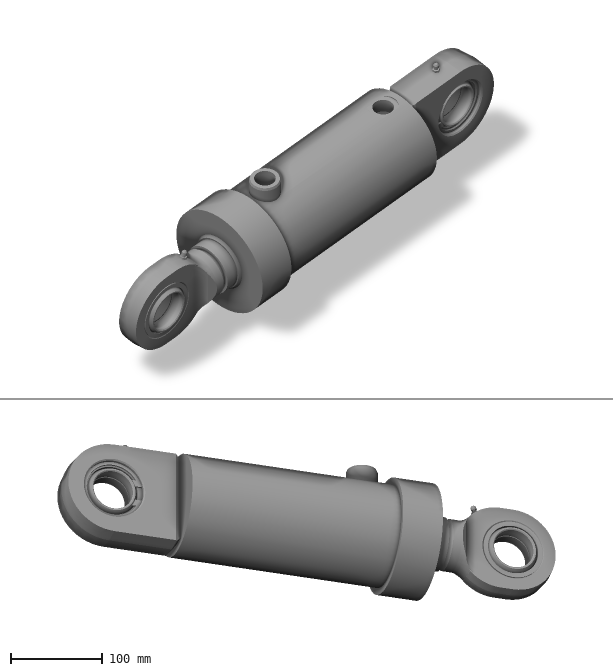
import cadquery as cq
import math


overall_length = 566.0

head_diameter = 130.0
head_length = 46.0
barrel_diameter = 115.0
barrel_rear_y = 286.0
gland_base_diameter = 68.0
gland_tip_diameter = 63.5
gland_length = 3.5

port_diameter = 35.0
port_bore_diameter = 24.0
port_bore_depth = 17.0
drill_point_angle = 118.0
rear_port_y = 261.0
spotface_z = 56.0
front_port_y = 72.5
boss_top_z = 75.0
boss_chamfer_height = 3.0
boss_chamfer_inset = 1.0

rear_eye_y = 363.5
rear_eye_radius = 55.0
rear_eye_width = 39.5
weld_chamfer_length = 7.0
weld_chamfer_inset = 5.5
eye_draft = 5.0

rod_diameter = 60.0
rod_end_y = -18.5
weld_groove_diameter = 51.0
neck_diameter = 58.0
neck_start_y = -24.0
neck_end_y = -34.5
rod_eye_diameter = 100.0
rod_eye_radius = rod_eye_diameter / 2
rod_eye_y = rear_eye_y + rear_eye_radius - overall_length + rod_eye_radius
rod_eye_width = 25.5
shoulder_y = -83.0
flare_radius = 18.0
flare_end_diameter = 78.0
plate_start_y = -47.5
taper_end_y = -41.0
taper_half_width = 21.5
flat_start_y = -53.0

bearing_bore = 45.0
bore_chamfer = 1.0
bearing_diameter = 68.0
seat_mouth_diameter = 71.0
ball_diameter = 60.0
ball_width = 32.0
outer_ring_bore = 58.0
outer_ring_width = rod_eye_width
oil_groove_width = 3.0
oil_groove_depth = 1.0
retainer_groove_diameter = 71.0
retainer_bore = 61.0
retainer_thickness = 2.0
retainer_gap = 16.5
lug_inner_radius = 26.5
lug_height = 7.5

nipple_hexagon = 8.5
nipple_base_height = 2.0
nipple_neck_diameter = 4.4
nipple_neck_height = 2.0
nipple_head_diameter = 6.0
nipple_head_height = 3.5
nipple_tip_diameter = 3.55
nipple_tip_height = 1.5
nipple_root = 3.0
rear_nipple_y = 345.0
rod_nipple_angle = 30.0
rod_nipple_tilt = 18.0


def cylinder_y(diameter, y_start, y_end):
    """Cylinder about the Y axis between two y positions."""
    plane = cq.Workplane("XZ", origin=(0, y_start, 0))
    return plane.circle(diameter / 2).extrude(y_start - y_end)


def cylinder_x(diameter, width):
    """Cylinder about the X axis, centred on x = 0."""
    return cq.Workplane("YZ").circle(diameter / 2).extrude(width / 2, both=True)


def drafted_plate(outline, width):
    """Plate with its outline in YZ, drafted to both sides of a ridge at x = 0."""
    half = outline.extrude(width / 2, taper=eye_draft)
    return half.union(half.mirror("YZ"))


def grease_nipple():
    """Nipple about Z: hexagonal base standing on z = 0 with a short root, neck and tapered head."""
    head_z = nipple_base_height + nipple_neck_height
    tip_z = head_z + nipple_head_height
    top_z = tip_z + nipple_tip_height
    base = (
        cq.Workplane("XY", origin=(0, 0, -nipple_root))
        .polygon(6, nipple_hexagon)
        .extrude(nipple_root + nipple_base_height)
    )
    fitting = (
        cq.Workplane("XZ")
        .lineTo(nipple_neck_diameter / 2, 0)
        .lineTo(nipple_neck_diameter / 2, head_z)
        .lineTo(nipple_head_diameter / 2, head_z)
        .lineTo(nipple_head_diameter / 2, tip_z)
        .lineTo(nipple_tip_diameter / 2, top_z)
        .lineTo(0, top_z)
        .close()
        .revolve(360, (0, 0, 0), (0, 1, 0))
    )
    return base.union(fitting)


def port_bore(y, mouth_z, floor_z):
    """Blind drilled hole from mouth_z down to floor_z, ending in a drill point."""
    radius = port_bore_diameter / 2
    point_depth = radius / math.tan(math.radians(drill_point_angle / 2))
    return (
        cq.Workplane("XZ", origin=(0, y, 0))
        .moveTo(0, mouth_z)
        .lineTo(radius, mouth_z)
        .lineTo(radius, floor_z)
        .lineTo(0, floor_z - point_depth)
        .close()
        .revolve(360, (0, 0, 0), (0, 1, 0))
    )


def rear_eye():
    """Drafted eye plate, chamfered all round where it meets the barrel."""
    outline = (
        cq.Workplane("YZ")
        .moveTo(0, -rear_eye_radius)
        .lineTo(rear_eye_y, -rear_eye_radius)
        .threePointArc((rear_eye_y + rear_eye_radius, 0), (rear_eye_y, rear_eye_radius))
        .lineTo(0, rear_eye_radius)
        .close()
    )
    barrel_side = cylinder_y(2 * head_diameter, -head_length, barrel_rear_y)
    plate = drafted_plate(outline, rear_eye_width).cut(barrel_side)
    end_edges = plate.faces("<Y").edges()
    return end_edges.chamfer(weld_chamfer_inset, weld_chamfer_length)


def bearing_seat(eye_width):
    """Cutter along X for a bearing's through bore, chamfered at both eye faces."""
    chamfer = (seat_mouth_diameter - bearing_diameter) / 2
    outer_x = eye_width / 2
    return (
        cq.Workplane("XZ")
        .moveTo(-outer_x, 0)
        .lineTo(-outer_x, seat_mouth_diameter / 2)
        .lineTo(-outer_x + chamfer, bearing_diameter / 2)
        .lineTo(outer_x - chamfer, bearing_diameter / 2)
        .lineTo(outer_x, seat_mouth_diameter / 2)
        .lineTo(outer_x, 0)
        .close()
        .revolve(360, (0, 0, 0), (1, 0, 0))
    )


def rear_bearing_seat():
    """Bearing seat with a groove for a retaining ring at each side of the bearing."""
    grooves_width = outer_ring_width + 2 * retainer_thickness
    grooves = cylinder_x(retainer_groove_diameter, grooves_width)
    grooves = grooves.cut(cylinder_x(retainer_groove_diameter, outer_ring_width))
    return bearing_seat(rear_eye_width).union(grooves).translate((0, rear_eye_y, 0))


def build_housing():
    """Head, barrel, oil ports and rear eye."""
    head = cylinder_y(head_diameter, 0, head_length)
    barrel = cylinder_y(barrel_diameter, head_length, barrel_rear_y)
    gland = (
        cq.Workplane("XZ")
        .circle(gland_base_diameter / 2)
        .workplane(offset=gland_length)
        .circle(gland_tip_diameter / 2)
        .loft()
    )
    boss = (
        cq.Workplane("XY", origin=(0, front_port_y, 0))
        .circle(port_diameter / 2)
        .extrude(boss_top_z)
        .faces(">Z")
        .chamfer(boss_chamfer_height, boss_chamfer_inset)
    )
    nipple = grease_nipple().translate((0, rear_nipple_y, rear_eye_radius))
    spotface = (
        cq.Workplane("XY", origin=(0, rear_port_y, spotface_z))
        .circle(port_diameter / 2)
        .extrude(barrel_diameter)
    )
    port_floor_z = spotface_z - port_bore_depth
    body = head.union(barrel).union(gland).union(boss).union(rear_eye()).union(nipple)
    body = body.cut(spotface)
    body = body.cut(port_bore(rear_port_y, spotface_z, port_floor_z))
    body = body.cut(port_bore(front_port_y, boss_top_z, port_floor_z))
    body = body.cut(cylinder_y(rod_diameter, -gland_length, head_length))
    return body.cut(rear_bearing_seat())


def flare_points():
    """Start, middle and end (y, z) of the arc from the neck out to the rod eye shoulder."""
    neck_radius = neck_diameter / 2
    centre_z = neck_radius + flare_radius
    centre_distance = rod_eye_radius + flare_radius
    centre_y = shoulder_y + math.sqrt(centre_distance**2 - centre_z**2)
    end_angle = math.atan2(-centre_z, shoulder_y - centre_y)
    middle_angle = (end_angle - math.pi / 2) / 2
    middle = (
        centre_y + flare_radius * math.cos(middle_angle),
        centre_z + flare_radius * math.sin(middle_angle),
    )
    end = (
        centre_y + flare_radius * math.cos(end_angle),
        centre_z + flare_radius * math.sin(end_angle),
    )
    return (centre_y, neck_radius), middle, end


def shoulder_point(angle):
    """(y, z) on the shoulder arc, with the angle measured from +Z toward +Y."""
    angle = math.radians(angle)
    return shoulder_y + rod_eye_radius * math.sin(angle), rod_eye_radius * math.cos(angle)


def rod_eye_plate():
    """Drafted eye plate with a tongue that ends inside the neck."""
    start_angle = math.degrees(math.asin((plate_start_y - shoulder_y) / rod_eye_radius))
    start_y, start_z = shoulder_point(start_angle)
    middle_y, middle_z = shoulder_point(start_angle / 2)
    tongue_z = rod_eye_width / 2
    outline = (
        cq.Workplane("YZ")
        .moveTo(neck_end_y, -tongue_z)
        .lineTo(neck_end_y, tongue_z)
        .lineTo(start_y, start_z)
        .threePointArc((middle_y, middle_z), (shoulder_y, rod_eye_radius))
        .lineTo(rod_eye_y, rod_eye_radius)
        .threePointArc((rod_eye_y - rod_eye_radius, 0), (rod_eye_y, -rod_eye_radius))
        .lineTo(shoulder_y, -rod_eye_radius)
        .threePointArc((middle_y, -middle_z), (start_y, -start_z))
        .close()
    )
    return drafted_plate(outline, rod_eye_width)


def rod_neck():
    """Round neck that flares in height and narrows to the width of the eye."""
    start, middle, end = flare_points()
    round_part = (
        cq.Workplane("YZ")
        .moveTo(rod_end_y, 0)
        .lineTo(rod_end_y, weld_groove_diameter / 2)
        .lineTo(neck_start_y, neck_diameter / 2)
        .lineTo(*start)
        .threePointArc(middle, end)
        .lineTo(flat_start_y, flare_end_diameter / 2)
        .lineTo(flat_start_y, 0)
        .close()
        .revolve(360, (0, 0, 0), (1, 0, 0))
    )
    half_eye = rod_eye_width / 2
    half_neck = neck_diameter / 2
    rise = taper_half_width - half_eye
    run = taper_end_y - flat_start_y
    blend_radius = (rise**2 + run**2) / (2 * rise)
    sweep = math.asin(run / blend_radius) / 2
    middle_x = half_eye + blend_radius * (1 - math.cos(sweep))
    middle_y = flat_start_y + blend_radius * math.sin(sweep)
    width_limit = (
        cq.Workplane("XY")
        .moveTo(-half_neck, 0)
        .lineTo(-half_neck, neck_end_y)
        .lineTo(-taper_half_width, taper_end_y)
        .threePointArc((-middle_x, middle_y), (-half_eye, flat_start_y))
        .lineTo(half_eye, flat_start_y)
        .threePointArc((middle_x, middle_y), (taper_half_width, taper_end_y))
        .lineTo(half_neck, neck_end_y)
        .lineTo(half_neck, 0)
        .close()
        .extrude(head_diameter, both=True)
    )
    return round_part.intersect(width_limit)


def build_rod():
    """Piston rod reaching through the head, with its eye."""
    shaft = cylinder_y(rod_diameter, rod_end_y, head_length)
    nipple_y, nipple_z = shoulder_point(rod_nipple_angle)
    nipple = (
        grease_nipple()
        .rotate((0, 0, 0), (1, 0, 0), -rod_nipple_tilt)
        .translate((0, nipple_y, nipple_z))
    )
    body = shaft.union(rod_neck()).union(rod_eye_plate()).union(nipple)
    return body.cut(bearing_seat(rod_eye_width).translate((0, rod_eye_y, 0)))


def build_bearing():
    """Spherical bearing about X: outer ring and ball with an oil groove in its bore."""
    outer_ring = cylinder_x(bearing_diameter, outer_ring_width)
    outer_ring = outer_ring.cut(cylinder_x(outer_ring_bore, outer_ring_width))
    ball_edge_z = math.sqrt(ball_diameter**2 - ball_width**2) / 2
    ball = (
        cq.Workplane("XZ")
        .moveTo(-ball_width / 2, 0)
        .lineTo(-ball_width / 2, ball_edge_z)
        .threePointArc((0, ball_diameter / 2), (ball_width / 2, ball_edge_z))
        .lineTo(ball_width / 2, 0)
        .close()
        .revolve(360, (0, 0, 0), (1, 0, 0))
    )
    oil_groove = cylinder_x(bearing_bore + 2 * oil_groove_depth, oil_groove_width)
    ball = ball.cut(cylinder_x(bearing_bore, ball_width))
    bore_edges = ball.faces("<X or >X").edges(cq.selectors.RadiusNthSelector(0))
    ball = bore_edges.chamfer(bore_chamfer)
    return outer_ring.union(ball).cut(oil_groove)


def retaining_ring():
    """Open ring from x = 0 toward +X, with a lug on each side of its gap facing -Y."""
    ring = (
        cq.Workplane("YZ")
        .circle(retainer_groove_diameter / 2)
        .circle(retainer_bore / 2)
        .extrude(retainer_thickness)
    )
    gap = cq.Workplane("YZ").center(-retainer_groove_diameter / 2, 0)
    ring = ring.cut(gap.rect(retainer_groove_diameter, retainer_gap).extrude(retainer_thickness))
    lug_zone = (
        cq.Workplane("YZ")
        .circle(bearing_diameter / 2)
        .circle(lug_inner_radius)
        .extrude(retainer_thickness)
    )
    lug_z = (retainer_gap + lug_height) / 2
    lug_blocks = (
        cq.Workplane("YZ")
        .center(-retainer_groove_diameter / 2, 0)
        .pushPoints([(0, lug_z), (0, -lug_z)])
        .rect(retainer_groove_diameter, lug_height)
        .extrude(retainer_thickness)
    )
    return ring.union(lug_zone.intersect(lug_blocks))


def build_retained_bearing():
    """Spherical bearing held between two retaining rings."""
    ring = retaining_ring().translate((outer_ring_width / 2, 0, 0))
    return build_bearing().union(ring).union(ring.mirror("YZ"))


housing = build_housing()
rod = build_rod()
rear_bearing = build_retained_bearing().translate((0, rear_eye_y, 0))
rod_bearing = build_bearing().translate((0, rod_eye_y, 0))

result = cq.Compound.makeCompound(
    [housing.val(), rod.val(), rear_bearing.val(), rod_bearing.val()]
)